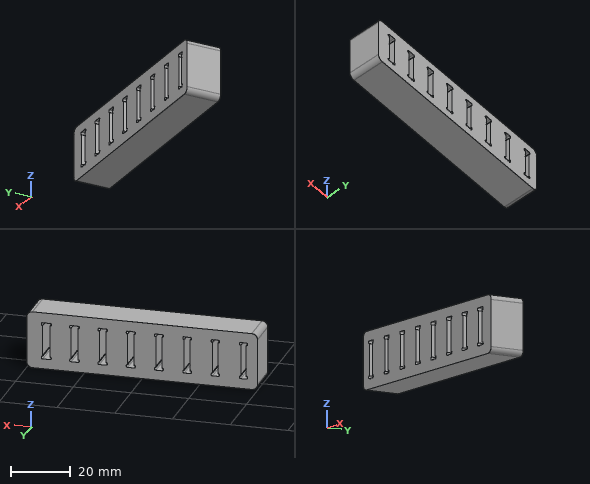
import cadquery as cq

length = 80.0
depth = 12.7
height = 20.0
corner_radius = 2.0

slot_count = 8
slot_pitch = 9.8
narrowest_slot_width = 1.8
slot_width_step = 0.09
slot_height = 12.9
first_slot_x = slot_pitch / 2 - length / 2

relief_radius = 0.5


def make_block():
    block = cq.Workplane("XY").box(length, depth, height)
    return block.edges("|Y").fillet(corner_radius)


def make_slot(center_x, width):
    """Full-depth slot whose corner reliefs touch the slot's top and bottom ends."""
    slot = cq.Workplane("XY").box(width, depth, slot_height)
    relief_spacing = slot_height - 2 * relief_radius
    reliefs = (
        cq.Workplane("XZ")
        .rect(width, relief_spacing, forConstruction=True)
        .vertices()
        .circle(relief_radius)
        .extrude(depth / 2, both=True)
    )
    return slot.union(reliefs).translate((center_x, 0, 0))


result = make_block()
for index in range(slot_count):
    slot_x = first_slot_x + index * slot_pitch
    slot_width = narrowest_slot_width + index * slot_width_step
    result = result.cut(make_slot(slot_x, slot_width))